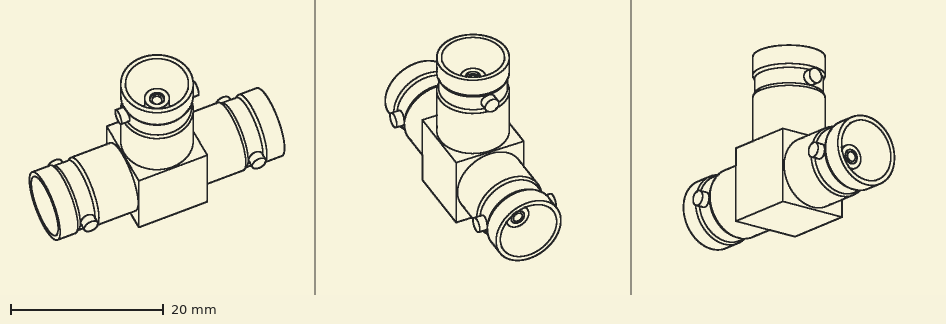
import cadquery as cq

block_width = 9.9
block_height = 10.15
overall_height = 22.53

run_reach = 16.25
branch_reach = overall_height - block_height / 2

body_diameter = 9.53
bore_diameter = 8.25
bore_depth = 9.75

rim_length = 2.57
groove_diameter = 9.05
shoulder_length = 0.45
groove_length = 2.15

lug_diameter = 2.0
lug_span = 11.18
lug_depth = rim_length + shoulder_length + groove_length / 2

sleeve_diameter = 3.25
sleeve_bore_diameter = 1.92
sleeve_recess = 3.2
contact_hole_diameter = 1.3

run_contact_recess = 3.12
branch_contact_recess = 3.58


def cylinder(diameter, bottom, top):
    """Cylinder on the Z axis between two heights."""
    return cq.Workplane("XY").workplane(offset=bottom).circle(diameter / 2).extrude(top - bottom)


def socket_shell(reach):
    """Grooved outer barrel, from the block centre to its open end."""
    body_radius = body_diameter / 2
    groove_radius = groove_diameter / 2
    rim_base = reach - rim_length
    groove_top = rim_base - shoulder_length
    groove_base = groove_top - groove_length
    barrel_top = groove_base - shoulder_length
    return (
        cq.Workplane("XZ")
        .moveTo(0, 0)
        .lineTo(body_radius, 0)
        .lineTo(body_radius, barrel_top)
        .lineTo(groove_radius, groove_base)
        .lineTo(groove_radius, groove_top)
        .lineTo(body_radius, rim_base)
        .lineTo(body_radius, reach)
        .lineTo(0, reach)
        .close()
        .revolve(360, (0, 0, 0), (0, 1, 0))
    )


def bayonet_lugs(reach):
    """Pair of lugs along X, as one bar that the bore later cuts in two."""
    return (
        cq.Workplane("YZ")
        .center(0, reach - lug_depth)
        .circle(lug_diameter / 2)
        .extrude(lug_span / 2, both=True)
    )


def socket_cavity(reach, contact_recess):
    """Space inside the barrel, around and within the sleeve and contact."""
    floor = reach - bore_depth
    sleeve_top = reach - sleeve_recess
    contact_top = reach - contact_recess
    bore = cylinder(bore_diameter, floor, reach)
    sleeve = cylinder(sleeve_diameter, floor, sleeve_top)
    sleeve_bore = cylinder(sleeve_bore_diameter, floor, sleeve_top)
    contact = cylinder(sleeve_bore_diameter, floor, contact_top)
    contact_hole = cylinder(contact_hole_diameter, floor, contact_top)
    insert = sleeve.cut(sleeve_bore).union(contact).cut(contact_hole)
    return bore.cut(insert)


def socket_solid(reach):
    """Barrel with its lugs, before the cavity is cut."""
    return socket_shell(reach).union(bayonet_lugs(reach))


def aim_branch(shape):
    """Keep the socket upright with its lugs turned to lie along Y."""
    return shape.rotate((0, 0, 0), (0, 0, 1), 90)


def aim_run(shape, direction):
    """Lay the socket along Y; direction is +1 or -1."""
    return shape.rotate((0, 0, 0), (1, 0, 0), -90 * direction)


tee = cq.Workplane("XY").box(block_width, block_width, block_height)
tee = tee.union(aim_branch(socket_solid(branch_reach)))
for side in (1, -1):
    tee = tee.union(aim_run(socket_solid(run_reach), side))

tee = tee.cut(aim_branch(socket_cavity(branch_reach, branch_contact_recess)))
for side in (1, -1):
    tee = tee.cut(aim_run(socket_cavity(run_reach, run_contact_recess), side))

result = tee